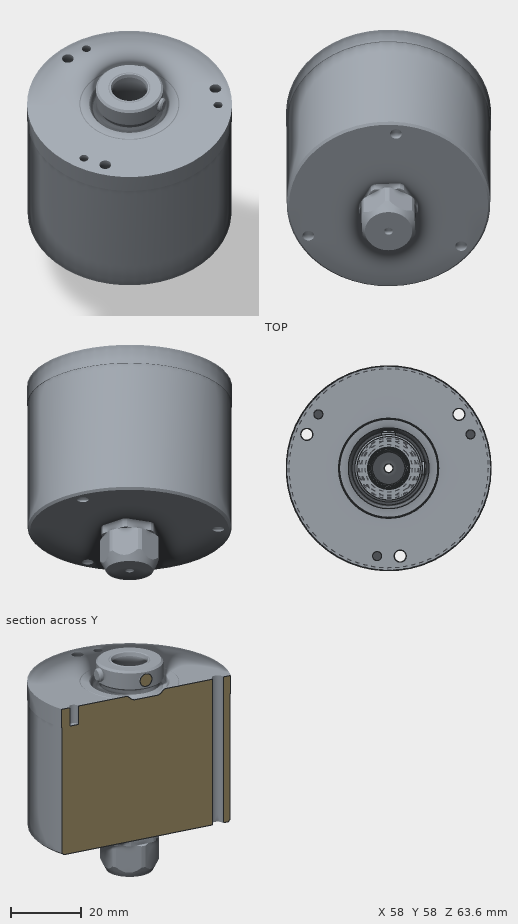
import cadquery as cq
import math

TIP_Z = 0
GLAND_NUT_TOP_Z = 9.9
BODY_BOTTOM_Z = 12.45
COVER_BOTTOM_Z = 51.4
COVER_TOP_Z = 57.0
COLLAR_BOTTOM_Z = 57.6
TOP_Z = 63.6

BODY_RADIUS = 28.8
BODY_CHAMFER = 0.65
COVER_RADIUS = 29.0

HEX_SIDES = 6
HEX_HALF_TURN = 180 / HEX_SIDES
HEX_ACROSS_FLATS = 15.0
HEX_CORNER_RADIUS = 8.3
GLAND_TIP_RADIUS = 6.7
GLAND_CONE_HEIGHT = 3.2
NUT_TOP_CHAMFER_HEIGHT = 0.25
NUT_TOP_CHAMFER_WIDTH = 0.5

COVER_JOINT_RADIUS = 14.2
COVER_JOINT_WIDTH = 0.3
COLLAR_JOINT_RADIUS = 6.0
COLLAR_JOINT_WIDTH = 0.4
JOINT_DEPTH = 0.1

RECESS_RIM_RADIUS = 11.45
RECESS_FLOOR_RADIUS = 10.35
RECESS_CHAMFER = 0.25
RECESS_DEPTH = 1.5

NECK_RADIUS = 8.5
FLARE_RADIUS = 9.55
FLARE_HEIGHT = 0.75

COLLAR_RADIUS = 9.55
COLLAR_CHAMFER = 0.6
SCREW_RADIUS = 2.0
SCREW_TIP_REACH = 10.6
SCREW_CHAMFER = 0.45
SCREW_ROOT_REACH = 7.65
SCREW_Z = 60.7
SCREW_ANGLES = (0, 90)

MOUTH_RADIUS = 5.3
MOUTH_DEPTH = 1.0
BORE_RADIUS = 4.95
BORE_FLOOR_CHAMFER = 0.4
BORE_BOTTOM_Z = COVER_BOTTOM_Z
THROUGH_HOLE_RADIUS = 1.2

BOLT_CIRCLE_RADIUS = 25.05
STATION_COUNT = 3
FIRST_STATION_ANGLE = 30
HOLE_OFFSET_ANGLE = 7.5
BOLT_HOLE_RADIUS = 1.65
BLIND_HOLE_RADIUS = 1.3


def turned(points):
    """Solid of revolution about Z from (radius, height) points."""
    return cq.Workplane("XZ").polyline(points).close().revolve(360, (0, 0, 0), (0, 1, 0))


def cylinder(radius, bottom_z, top_z, x=0, y=0):
    base = cq.Workplane("XY", origin=(x, y, bottom_z))
    return base.circle(radius).extrude(top_z - bottom_z)


def hexagon(bottom_z, top_z, turn):
    """Hexagonal prism with a corner pointing along +X before it is turned."""
    across_corners = HEX_ACROSS_FLATS / math.cos(math.radians(HEX_HALF_TURN))
    prism = cq.Workplane("XY", origin=(0, 0, bottom_z)).polygon(HEX_SIDES, across_corners)
    return prism.extrude(top_z - bottom_z).rotate((0, 0, 0), (0, 0, 1), turn)


def make_housing():
    body = cylinder(BODY_RADIUS, BODY_BOTTOM_Z, COVER_BOTTOM_Z)
    body = body.faces("<Z").chamfer(BODY_CHAMFER)
    return body.union(cylinder(COVER_RADIUS, COVER_BOTTOM_Z, COVER_TOP_Z))


def make_gland():
    base = hexagon(GLAND_NUT_TOP_Z, BODY_BOTTOM_Z, 0)
    base = base.intersect(cylinder(HEX_CORNER_RADIUS, GLAND_NUT_TOP_Z, BODY_BOTTOM_Z))
    nut_envelope = turned([
        (0, TIP_Z),
        (GLAND_TIP_RADIUS, TIP_Z),
        (HEX_CORNER_RADIUS, TIP_Z + GLAND_CONE_HEIGHT),
        (HEX_CORNER_RADIUS, GLAND_NUT_TOP_Z - NUT_TOP_CHAMFER_HEIGHT),
        (HEX_CORNER_RADIUS - NUT_TOP_CHAMFER_WIDTH, GLAND_NUT_TOP_Z),
        (0, GLAND_NUT_TOP_Z),
    ])
    nut = hexagon(TIP_Z, GLAND_NUT_TOP_Z, HEX_HALF_TURN).intersect(nut_envelope)
    return base.union(nut)


def make_joint_groove(outer_radius, width, face_z):
    return turned([
        (outer_radius, face_z),
        (outer_radius - width, face_z),
        (outer_radius - width / 2, face_z - JOINT_DEPTH),
    ])


def make_neck_recess():
    floor_z = COVER_TOP_Z - RECESS_DEPTH
    return turned([
        (NECK_RADIUS, COVER_TOP_Z),
        (RECESS_RIM_RADIUS, COVER_TOP_Z),
        (RECESS_RIM_RADIUS - RECESS_CHAMFER, COVER_TOP_Z - RECESS_CHAMFER),
        (RECESS_FLOOR_RADIUS + RECESS_CHAMFER, floor_z + RECESS_CHAMFER),
        (RECESS_FLOOR_RADIUS, floor_z),
        (FLARE_RADIUS, floor_z),
        (NECK_RADIUS, floor_z + FLARE_HEIGHT),
    ])


def make_collar():
    neck = cylinder(NECK_RADIUS, COVER_TOP_Z, COLLAR_BOTTOM_Z)
    ring = cylinder(COLLAR_RADIUS, COLLAR_BOTTOM_Z, TOP_Z)
    return neck.union(ring.faces("<Z or >Z").chamfer(COLLAR_CHAMFER))


def make_set_screw(angle):
    screw = cq.Workplane("YZ", origin=(SCREW_ROOT_REACH, 0, SCREW_Z)).circle(SCREW_RADIUS)
    screw = screw.extrude(SCREW_TIP_REACH - SCREW_ROOT_REACH)
    return screw.faces(">X").chamfer(SCREW_CHAMFER).rotate((0, 0, 0), (0, 0, 1), angle)


def make_bore():
    return turned([
        (0, TOP_Z),
        (MOUTH_RADIUS, TOP_Z),
        (BORE_RADIUS, TOP_Z - MOUTH_DEPTH),
        (BORE_RADIUS, BORE_BOTTOM_Z + BORE_FLOOR_CHAMFER),
        (BORE_RADIUS - BORE_FLOOR_CHAMFER, BORE_BOTTOM_Z),
        (0, BORE_BOTTOM_Z),
    ])


def make_cover_hole(radius, angle, bottom_z):
    x = BOLT_CIRCLE_RADIUS * math.cos(math.radians(angle))
    y = BOLT_CIRCLE_RADIUS * math.sin(math.radians(angle))
    return cylinder(radius, bottom_z, COVER_TOP_Z, x, y)


result = make_housing().union(make_gland())
result = result.cut(make_joint_groove(COVER_JOINT_RADIUS, COVER_JOINT_WIDTH, COVER_TOP_Z))
result = result.cut(make_neck_recess())
result = result.union(make_collar())
result = result.cut(make_joint_groove(COLLAR_JOINT_RADIUS, COLLAR_JOINT_WIDTH, TOP_Z))
for screw_angle in SCREW_ANGLES:
    result = result.union(make_set_screw(screw_angle))
result = result.cut(make_bore()).cut(cylinder(THROUGH_HOLE_RADIUS, TIP_Z, TOP_Z))
for station in range(STATION_COUNT):
    station_angle = FIRST_STATION_ANGLE + station * 360 / STATION_COUNT
    bolt_angle = station_angle + HOLE_OFFSET_ANGLE
    blind_angle = station_angle - HOLE_OFFSET_ANGLE
    result = result.cut(make_cover_hole(BOLT_HOLE_RADIUS, bolt_angle, BODY_BOTTOM_Z))
    result = result.cut(make_cover_hole(BLIND_HOLE_RADIUS, blind_angle, COVER_BOTTOM_Z))